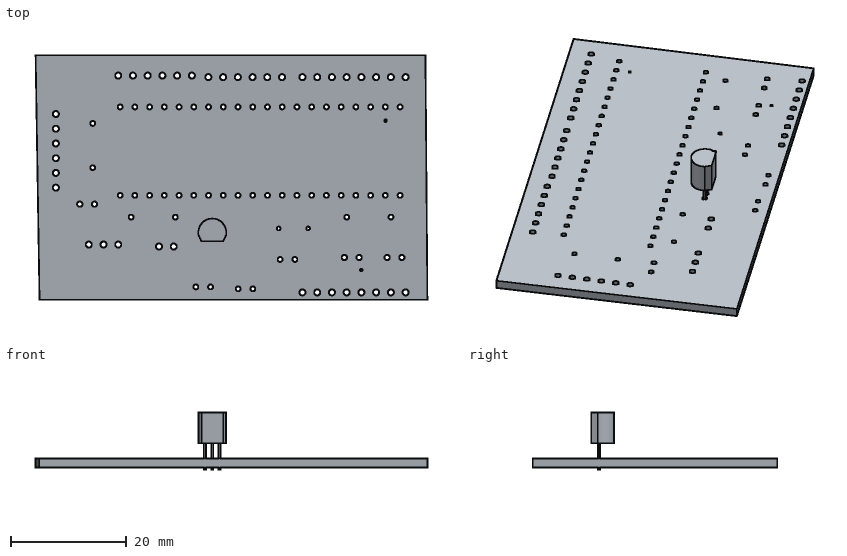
import cadquery as cq

BOARD_LENGTH = 67.6
BOARD_WIDTH = 42.2
BOARD_THICKNESS = 1.6
LEFT_END_LEAN = 0.7
RIGHT_END_LEAN = 0.35

SOCKET_COUNT = 20
SOCKET_LENGTH = 48.3
PITCH = SOCKET_LENGTH / (SOCKET_COUNT - 1)
SOCKET_ROW_GAP = 6 * PITCH
WIDE_SPACING = 3 * PITCH
MEDIUM_SPACING = 2 * PITCH

HEADER_HOLE = 1.0
TERMINAL_HOLE = 0.9
COMPONENT_HOLE = 0.8
SMALL_HOLE = 0.6
VIA_HOLE = 0.4

SOCKET_X = -19.2
SOCKET_TOP_Y = 12.2
RIGHT_HEADER_X = 12.25
UPPER_HEADER_Y = 17.3
WIDE_PAIR_Y = -6.8
TERMINAL_PAIR_Y = -13.8

HOLE_ROWS = [
    (SOCKET_X, SOCKET_TOP_Y, SOCKET_COUNT, PITCH, COMPONENT_HOLE),
    (SOCKET_X, SOCKET_TOP_Y - SOCKET_ROW_GAP, SOCKET_COUNT, PITCH, COMPONENT_HOLE),
    (-19.55, 17.6, 6, PITCH, HEADER_HOLE),
    (-4.0, UPPER_HEADER_Y, 6, PITCH, HEADER_HOLE),
    (RIGHT_HEADER_X, UPPER_HEADER_Y, 8, PITCH, HEADER_HOLE),
    (RIGHT_HEADER_X, -19.8, 8, PITCH, HEADER_HOLE),
    (-24.6, -11.55, 3, PITCH, HEADER_HOLE),
    (-12.5, -11.9, 2, PITCH, HEADER_HOLE),
    (-26.2, -4.6, 2, PITCH, TERMINAL_HOLE),
    (19.5, TERMINAL_PAIR_Y, 2, PITCH, TERMINAL_HOLE),
    (26.85, TERMINAL_PAIR_Y, 2, PITCH, TERMINAL_HOLE),
    (-6.15, -18.9, 2, PITCH, COMPONENT_HOLE),
    (1.15, -19.2, 2, PITCH, COMPONENT_HOLE),
    (8.4, -14.15, 2, PITCH, COMPONENT_HOLE),
    (-17.3, WIDE_PAIR_Y, 2, WIDE_SPACING, COMPONENT_HOLE),
    (19.9, WIDE_PAIR_Y, 2, WIDE_SPACING, COMPONENT_HOLE),
    (8.1, -8.8, 2, MEDIUM_SPACING, SMALL_HOLE),
]

HOLE_COLUMNS = [
    (-30.3, 10.95, 6, PITCH, HEADER_HOLE),
    (-23.95, 9.3, 2, WIDE_SPACING, COMPONENT_HOLE),
]

VIA_POINTS = [(26.6, 9.8), (22.4, -15.95)]

LEAD_COUNT = 3
LEAD_MIDDLE_X = -3.3
LEAD_Y = -9.7
LEAD_SIZE = 0.4
LEAD_HOLE = COMPONENT_HOLE
LEAD_SPACING = PITCH / 2
LEAD_PROTRUSION = 0.35

CASE_X = LEAD_MIDDLE_X
CASE_ARC_CENTER_Y = -9.5
CASE_WIDTH = 4.8
CASE_RADIUS = CASE_WIDTH / 2
CASE_FLAT_WIDTH = 3.7
CASE_SIDE_LENGTH = 0.4
CASE_CORNER_DEPTH = 1.15
CASE_HEIGHT = 5.35
CASE_STANDOFF = 2.6
CASE_BASE_Z = BOARD_THICKNESS + CASE_STANDOFF


def hole_row(x, y, count, spacing):
    return [(x + i * spacing, y) for i in range(count)]


def hole_column(x, y, count, spacing):
    return [(x, y - i * spacing) for i in range(count)]


def lead_points():
    first_x = LEAD_MIDDLE_X - LEAD_SPACING * (LEAD_COUNT - 1) / 2
    return hole_row(first_x, LEAD_Y, LEAD_COUNT, LEAD_SPACING)


def make_plate():
    half_length = BOARD_LENGTH / 2
    half_width = BOARD_WIDTH / 2
    corners = [
        (-half_length, half_width),
        (half_length - RIGHT_END_LEAN, half_width),
        (half_length, -half_width),
        (-half_length + LEFT_END_LEAN, -half_width),
    ]
    return cq.Workplane("XY").polyline(corners).close().extrude(BOARD_THICKNESS)


def drill(plate, points, diameter):
    drills = cq.Workplane("XY").pushPoints(points).circle(diameter / 2).extrude(BOARD_THICKNESS)
    return plate.cut(drills)


def make_board():
    plate = make_plate()
    for x, y, count, spacing, diameter in HOLE_ROWS:
        plate = drill(plate, hole_row(x, y, count, spacing), diameter)
    for x, y, count, spacing, diameter in HOLE_COLUMNS:
        plate = drill(plate, hole_column(x, y, count, spacing), diameter)
    plate = drill(plate, VIA_POINTS, VIA_HOLE)
    return drill(plate, lead_points(), LEAD_HOLE)


def make_lead(x, y):
    return (
        cq.Workplane("XY", origin=(x, y, -LEAD_PROTRUSION))
        .rect(LEAD_SIZE, LEAD_SIZE)
        .extrude(LEAD_PROTRUSION + CASE_BASE_Z)
    )


def make_case():
    half_flat = CASE_FLAT_WIDTH / 2
    side_end_y = -CASE_SIDE_LENGTH
    flat_y = side_end_y - CASE_CORNER_DEPTH
    return (
        cq.Workplane("XY", origin=(CASE_X, CASE_ARC_CENTER_Y, CASE_BASE_Z))
        .moveTo(-CASE_RADIUS, 0)
        .threePointArc((0, CASE_RADIUS), (CASE_RADIUS, 0))
        .lineTo(CASE_RADIUS, side_end_y)
        .lineTo(half_flat, flat_y)
        .lineTo(-half_flat, flat_y)
        .lineTo(-CASE_RADIUS, side_end_y)
        .close()
        .extrude(CASE_HEIGHT)
    )


board = make_board()
case = make_case()
leads = [make_lead(x, y) for x, y in lead_points()]

result = cq.Compound.makeCompound([board.val(), case.val(), *[lead.val() for lead in leads]])